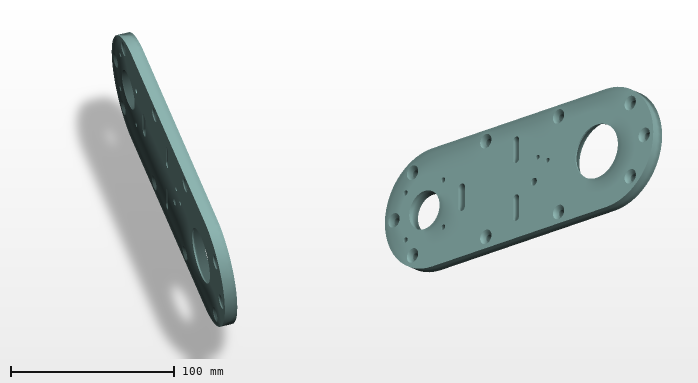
import cadquery as cq

length = 222.0
height = 78.0
thickness = 8.0

small_opening_x = -78.4
small_opening_diameter = 25.0
large_opening_x = 64.2
large_opening_diameter = 35.0

recess_diameter = 43.0
lip_thickness = 1.0

fixing_hole_spacing = 31.0
fixing_hole_diameter = 3.3

screw_diameter = 4.2
countersink_diameter = 9.3
countersink_angle = 90.0
screw_pairs = [(-88.1, 27.3), (-27.5, 31.5), (32.6, 31.5), (92.0, 24.2)]
screw_end_offset = 103.5

single_slot_x = -47.5
single_slot_length = 18.0
single_slot_width = 5.3
paired_slot_x = -2.5
paired_slot_z = 19.0
paired_slot_length = 17.3
paired_slot_width = 4.7

pin_points = [(15.3, 9.3), (23.5, 5.0)]
pin_diameter = 3.0
pivot_point = (12.2, -6.0)
pivot_diameter = 4.9


def mirrored(points):
    """Return the points together with their mirror images below the long axis."""
    return points + [(x, -z) for x, z in points]


def drill(body, points, diameter):
    """Cut plain through holes centred on the points."""
    return front_face(body).pushPoints(points).hole(diameter)


def cut_slots(body, points, slot_length, slot_width):
    """Cut upright round-ended slots through the plate."""
    return front_face(body).pushPoints(points).slot2D(slot_length, slot_width, 90).cutThruAll()


def front_face(body):
    """Work on the front face, with X across and Z up from the plate centre."""
    return body.faces("<Y").workplane(origin=(0, 0, 0))


plate = cq.Workplane("XZ").slot2D(length, height).extrude(thickness / 2, both=True)

plate = drill(plate, [(small_opening_x, 0)], small_opening_diameter)
plate = drill(plate, [(large_opening_x, 0)], large_opening_diameter)

recess_depth = thickness - lip_thickness
recess = (
    cq.Workplane("XZ", origin=(0, thickness / 2, 0))
    .center(large_opening_x, 0)
    .circle(recess_diameter / 2)
    .extrude(recess_depth)
)
plate = plate.cut(recess)

half_spacing = fixing_hole_spacing / 2
fixing_points = mirrored([(small_opening_x + side * half_spacing, half_spacing) for side in (-1, 1)])
plate = drill(plate, fixing_points, fixing_hole_diameter)

plate = drill(plate, pin_points, pin_diameter)
plate = drill(plate, [pivot_point], pivot_diameter)

plate = cut_slots(plate, [(single_slot_x, 0)], single_slot_length, single_slot_width)
plate = cut_slots(plate, mirrored([(paired_slot_x, paired_slot_z)]), paired_slot_length, paired_slot_width)

screw_points = mirrored(screw_pairs) + [(-screw_end_offset, 0), (screw_end_offset, 0)]
result = front_face(plate).pushPoints(screw_points).cskHole(
    screw_diameter, countersink_diameter, countersink_angle
)